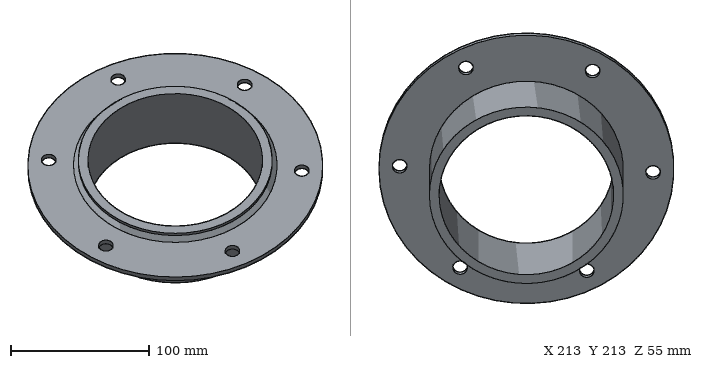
import cadquery as cq

tube_diameter = 140.0
bore_diameter = 126.0
tube_length = 55.0

flange_diameter = 213.0
flange_thickness = 4.0
flange_top_inset = 6.0
flange_top = tube_length - flange_top_inset

weld_leg = 3.5

bolt_hole_diameter = 10.5
bolt_circle_diameter = 183.0
bolt_hole_count = 6
first_bolt_angle = 90.0


def make_tube():
    return cq.Workplane("XY").circle(tube_diameter / 2).extrude(tube_length)


def make_flange():
    flange_bottom = flange_top - flange_thickness
    return (
        cq.Workplane("XY")
        .workplane(offset=flange_bottom)
        .circle(flange_diameter / 2)
        .extrude(flange_thickness)
        .faces(">Z")
        .workplane()
        .polarArray(bolt_circle_diameter / 2, first_bolt_angle, 360, bolt_hole_count)
        .hole(bolt_hole_diameter)
    )


def make_weld():
    """Conical bead in the corner between the flange and the tube."""
    weld_base_diameter = tube_diameter + 2 * weld_leg
    return (
        cq.Workplane("XY")
        .workplane(offset=flange_top)
        .circle(weld_base_diameter / 2)
        .workplane(offset=weld_leg)
        .circle(tube_diameter / 2)
        .loft(ruled=True)
    )


def make_bore():
    return cq.Workplane("XY").circle(bore_diameter / 2).extrude(tube_length)


result = make_tube().union(make_flange()).union(make_weld()).cut(make_bore())